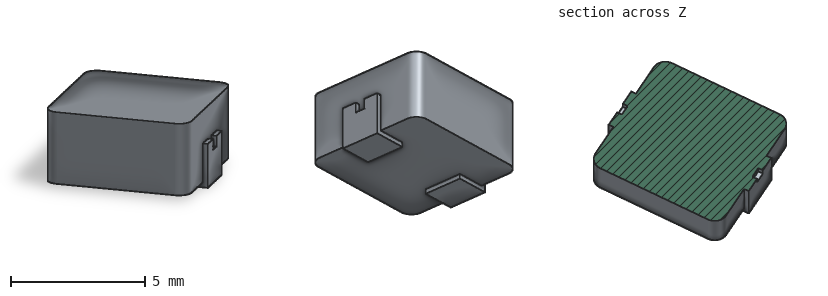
import cadquery as cq

length = 6.0
width = 5.4
height = 3.0

strip_thickness = 0.2
terminal_width = 1.715
terminal_height = 1.715
foot_length = 1.4
notch_width = 0.42
notch_depth = 0.42

corner_radius = 0.5
body_length = length - 2 * strip_thickness
body_height = height - strip_thickness


def make_body():
    """Block with rounded vertical edges."""
    return (
        cq.Workplane("XY", origin=(0, 0, strip_thickness))
        .rect(body_length, width)
        .extrude(body_height)
        .edges("|Z")
        .fillet(corner_radius)
    )


def make_terminal():
    """L-shaped strip at the -X end, notched in the middle of its top edge."""
    outer_x = -length / 2
    inner_x = outer_x + strip_thickness
    strip = (
        cq.Workplane("XZ")
        .moveTo(outer_x, 0)
        .lineTo(outer_x + foot_length, 0)
        .lineTo(outer_x + foot_length, strip_thickness)
        .lineTo(inner_x, strip_thickness)
        .lineTo(inner_x, terminal_height)
        .lineTo(outer_x, terminal_height)
        .close()
        .extrude(terminal_width / 2, both=True)
    )
    notch = cq.Workplane("XY", origin=(outer_x, 0, terminal_height - notch_depth)).box(
        strip_thickness, notch_width, notch_depth, centered=(False, True, False)
    )
    return strip.cut(notch)


left_terminal = make_terminal()
right_terminal = left_terminal.mirror("YZ")
result = make_body().union(left_terminal).union(right_terminal)